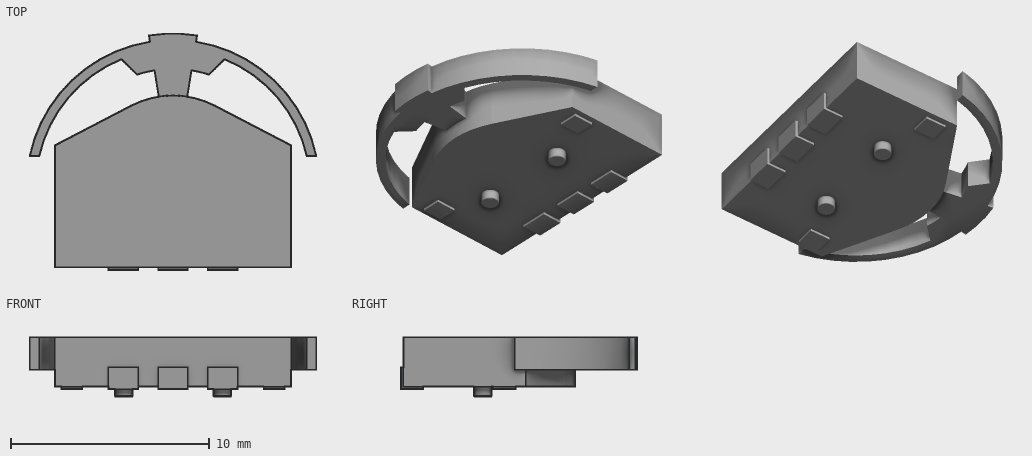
import cadquery as cq
import math

HOUSING_WIDTH = 11.92
HOUSING_HEIGHT = 2.49
SHOULDER_Y = 6.16
NOSE_RADIUS = 4.59

ARC_CENTRE_Y = 4.1

PEG_DIAMETER = 0.9
PEG_LENGTH = 0.5
PEG_CHAMFER = 0.03
PEG_X = 2.49
PEG_Y = 4.01

LEVER_SPAN = 14.47
LEVER_THICKNESS = 1.65
BOW_OUTER_RADIUS = 7.4
BOW_INNER_RADIUS = 6.92
TAB_RADIUS = 7.71
HUB_RADIUS = 5.92
HUB_HALF_WIDTH = 1.81
HUB_ROOT_HALF_WIDTH = 2.6
STEM_HALF_ANGLE = 9.1

METAL_THICKNESS = 0.13
TERMINAL_PITCH = 2.5
TERMINAL_WIDTH = 1.5
TERMINAL_RISE = 0.97
FOOT_DEPTH = 1.0

PAD_WIDTH = 1.05
PAD_LENGTH = 1.15
PAD_X = 5.11
PAD_Y = 5.1


def on_circle(radius, x):
    """Point at x on the rear half of a circle about the arc centre."""
    return (x, ARC_CENTRE_Y + math.sqrt(radius**2 - x**2))


def on_stem_side(radius):
    """Point at a given radius on the right-hand radial side of the stem and tab."""
    return on_circle(radius, radius * math.sin(math.radians(STEM_HALF_ANGLE)))


def mirrored(point):
    return (-point[0], point[1])


def make_housing():
    half_width = HOUSING_WIDTH / 2
    shoulder = (half_width, SHOULDER_Y)
    rise = SHOULDER_Y - ARC_CENTRE_Y
    tangent_angle = math.atan2(rise, half_width) + math.acos(NOSE_RADIUS / math.hypot(half_width, rise))
    tangent = on_circle(NOSE_RADIUS, NOSE_RADIUS * math.cos(tangent_angle))
    body = (
        cq.Workplane("XY")
        .moveTo(-half_width, 0)
        .lineTo(half_width, 0)
        .lineTo(*shoulder)
        .lineTo(*tangent)
        .threePointArc(on_circle(NOSE_RADIUS, 0), mirrored(tangent))
        .lineTo(*mirrored(shoulder))
        .close()
        .extrude(HOUSING_HEIGHT)
    )
    pegs = (
        cq.Workplane("XY")
        .pushPoints([(-PEG_X, PEG_Y), (PEG_X, PEG_Y)])
        .circle(PEG_DIAMETER / 2)
        .extrude(-PEG_LENGTH)
        .faces("<Z")
        .chamfer(PEG_CHAMFER)
    )
    return body.union(pegs)


def make_lever():
    outer_tip = on_circle(BOW_OUTER_RADIUS, LEVER_SPAN / 2)
    tip_rise = outer_tip[1] - ARC_CENTRE_Y
    inner_tip = (math.sqrt(BOW_INNER_RADIUS**2 - tip_rise**2), outer_tip[1])
    tab_root = on_stem_side(BOW_OUTER_RADIUS)
    tab_corner = on_stem_side(TAB_RADIUS)
    hub_root = on_circle(BOW_INNER_RADIUS, HUB_ROOT_HALF_WIDTH)
    hub_corner = on_circle(HUB_RADIUS, HUB_HALF_WIDTH)
    stem_root = on_stem_side(HUB_RADIUS)
    stem_end = on_stem_side(NOSE_RADIUS)

    def arc_middle(radius, start, end):
        return on_circle(radius, (start[0] + end[0]) / 2)

    outer_middle = arc_middle(BOW_OUTER_RADIUS, outer_tip, tab_root)
    inner_middle = arc_middle(BOW_INNER_RADIUS, inner_tip, hub_root)
    hub_middle = arc_middle(HUB_RADIUS, hub_corner, stem_root)
    return (
        cq.Workplane("XY")
        .workplane(offset=HOUSING_HEIGHT)
        .moveTo(*stem_end)
        .lineTo(*stem_root)
        .threePointArc(hub_middle, hub_corner)
        .lineTo(*hub_root)
        .threePointArc(inner_middle, inner_tip)
        .lineTo(*outer_tip)
        .threePointArc(outer_middle, tab_root)
        .lineTo(*tab_corner)
        .threePointArc(on_circle(TAB_RADIUS, 0), mirrored(tab_corner))
        .lineTo(*mirrored(tab_root))
        .threePointArc(mirrored(outer_middle), mirrored(outer_tip))
        .lineTo(*mirrored(inner_tip))
        .threePointArc(mirrored(inner_middle), mirrored(hub_root))
        .lineTo(*mirrored(hub_corner))
        .threePointArc(mirrored(hub_middle), mirrored(stem_root))
        .lineTo(*mirrored(stem_end))
        .threePointArc(on_circle(NOSE_RADIUS, 0), stem_end)
        .close()
        .extrude(-LEVER_THICKNESS)
    )


def make_terminal(x):
    """Terminal that runs down the front face and folds under the housing."""
    return (
        cq.Workplane("YZ")
        .workplane(offset=x - TERMINAL_WIDTH / 2)
        .moveTo(0, 0)
        .lineTo(0, TERMINAL_RISE)
        .lineTo(-METAL_THICKNESS, TERMINAL_RISE)
        .lineTo(-METAL_THICKNESS, -METAL_THICKNESS)
        .lineTo(FOOT_DEPTH, -METAL_THICKNESS)
        .lineTo(FOOT_DEPTH, 0)
        .close()
        .extrude(TERMINAL_WIDTH)
    )


def make_pad(x):
    return (
        cq.Workplane("XY")
        .center(x, PAD_Y)
        .rect(PAD_WIDTH, PAD_LENGTH)
        .extrude(-METAL_THICKNESS)
    )


housing = make_housing()
lever = make_lever()
terminals = [make_terminal(x) for x in (-TERMINAL_PITCH, 0, TERMINAL_PITCH)]
pads = [make_pad(x) for x in (-PAD_X, PAD_X)]

result = cq.Compound.makeCompound([part.val() for part in [housing, lever, *terminals, *pads]])